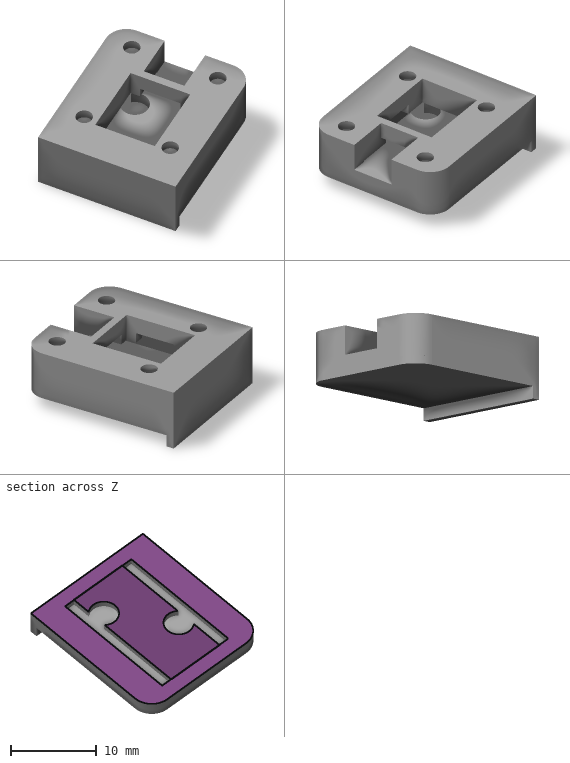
import cadquery as cq

width = 17.9
length = 20.5
corner_radius = 2.66
housing_height = 5.0
back = length / 2
front = -length / 2

wall = 1.99
cavity_height = 1.65
cavity_width = 10.5
cavity_length = length - 2 * wall

window_width = 7.75
window_back = 3.81
window_front = -5.47
slot_width = 5.27
slot_length = 5.5
slot_floor = 1.5
passage_top = 2.91
side_passage_back = 2.55
side_passage_front = -2.6

hole_diameter = 2.03
hole_depth = 1.15
hole_x = 5.6
hole_back_y = back - corner_radius
hole_front_y = -4.9
hole_points = [(x, y) for x in (-hole_x, hole_x) for y in (hole_back_y, hole_front_y)]

plate_thickness = 1.0
lip_thickness = plate_thickness
lip_height = 1.5
pad_height = 1.5
pad_pocket_diameter = 3.5
pad_pocket_points = [(-2.7, 2.56), (2.7, -4.43)]


def box(x_range, y_range, z_range):
    """Box between the given limits on each axis."""
    corner = (x_range[0], y_range[0], z_range[0])
    size = [high - low for low, high in (x_range, y_range, z_range)]
    return cq.Workplane("XY").box(*size, centered=False).translate(corner)


def centred_box(x_size, y_range, z_range):
    """Box that is symmetric about X = 0."""
    return box((-x_size / 2, x_size / 2), y_range, z_range)


def rounded_block(bottom, height):
    """Outer block with the two back corners rounded."""
    block = centred_box(width, (front, back), (bottom, bottom + height))
    return block.edges("|Z and >Y").fillet(corner_radius)


def cylinders(points, diameter, bottom, height):
    """Upright cylinders rising from the given bottom height."""
    plane = cq.Workplane("XY").workplane(offset=bottom)
    return plane.pushPoints(points).circle(diameter / 2).extrude(height)


def make_housing():
    body = rounded_block(0, housing_height)
    slot_end = back - slot_length

    cavity = centred_box(cavity_width, (-cavity_length / 2, cavity_length / 2), (0, cavity_height))
    window = centred_box(window_width, (window_front, window_back), (0, housing_height))
    slot = centred_box(slot_width, (slot_end, back), (slot_floor, housing_height))
    back_passage = centred_box(slot_width, (window_back, slot_end), (0, passage_top))
    side_passage = box(
        (window_width / 2, cavity_width / 2),
        (side_passage_front, side_passage_back),
        (0, passage_top),
    )
    holes = cylinders(hole_points, hole_diameter, housing_height - hole_depth, hole_depth)

    for cutter in (cavity, window, slot, back_passage, side_passage, holes):
        body = body.cut(cutter)
    return body


def make_base():
    plate = rounded_block(-plate_thickness, plate_thickness)
    lip_bottom = -plate_thickness - lip_height
    lip = centred_box(width, (front, front + lip_thickness), (lip_bottom, -plate_thickness))

    pad = centred_box(window_width, (-cavity_length / 2, cavity_length / 2), (0, pad_height))
    pad = pad.cut(cylinders(pad_pocket_points, pad_pocket_diameter, 0, pad_height))
    return plate.union(lip).union(pad)


housing = make_housing()
base = make_base()
result = cq.Compound.makeCompound([housing.val(), base.val()])